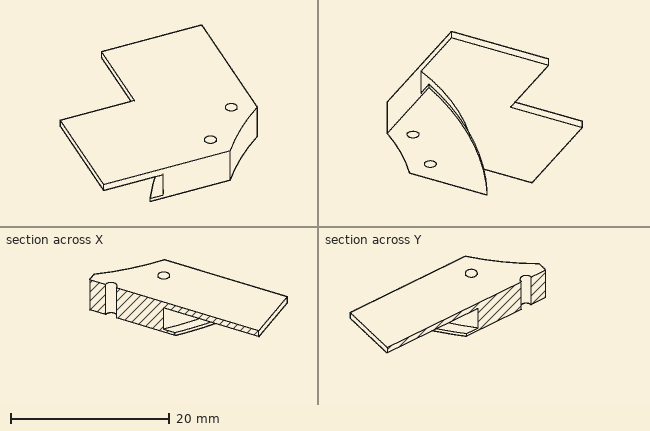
import cadquery as cq

plate_x = 24.73
plate_y = 24.0
notch_x = 10.65
notch_y = 10.2

flange_thickness = 0.5
web_thickness = 3.31
plate_thickness = 1.0

relief_axis_offset = (19.22, 19.85)
relief_radius = 32.7
web_axis_offset = (15.78, 16.6)
web_radius = 36.05
flange_axis_offset = (23.32, 25.22)
flange_radius = 48.8

hole_diameter = 1.5
hole_near = 3.05
hole_far = 8.01

web_base = flange_thickness
plate_base = web_base + web_thickness
total_height = plate_base + plate_thickness


def arc_disc(axis_offset, radius, base, height):
    """Solid disc centred beyond the outer corner."""
    offset_x, offset_y = axis_offset
    origin = (plate_x + offset_x, plate_y + offset_y, base)
    return cq.Workplane("XY", origin=origin).circle(radius).extrude(height)


def corner_sector(axis_offset, radius, base, height):
    """Part of a disc that lies inside the plate's outer edges."""
    bounds = cq.Workplane("XY", origin=(0, 0, base)).rect(plate_x, plate_y, centered=False).extrude(height)
    return arc_disc(axis_offset, radius, base, height).intersect(bounds)


plate = (
    cq.Workplane("XY", origin=(0, 0, plate_base))
    .moveTo(0, notch_y)
    .lineTo(notch_x, notch_y)
    .lineTo(notch_x, 0)
    .lineTo(plate_x, 0)
    .lineTo(plate_x, plate_y)
    .lineTo(0, plate_y)
    .close()
    .extrude(plate_thickness)
)

web = corner_sector(web_axis_offset, web_radius, web_base, web_thickness)
flange = corner_sector(flange_axis_offset, flange_radius, 0, flange_thickness)

corner_relief = arc_disc(relief_axis_offset, relief_radius, 0, total_height)

hole_centers = [
    (plate_x - hole_far, plate_y - hole_near),
    (plate_x - hole_near, plate_y - hole_far),
]
holes = cq.Workplane("XY").pushPoints(hole_centers).circle(hole_diameter / 2).extrude(total_height)

result = plate.union(web).union(flange).cut(corner_relief).cut(holes)